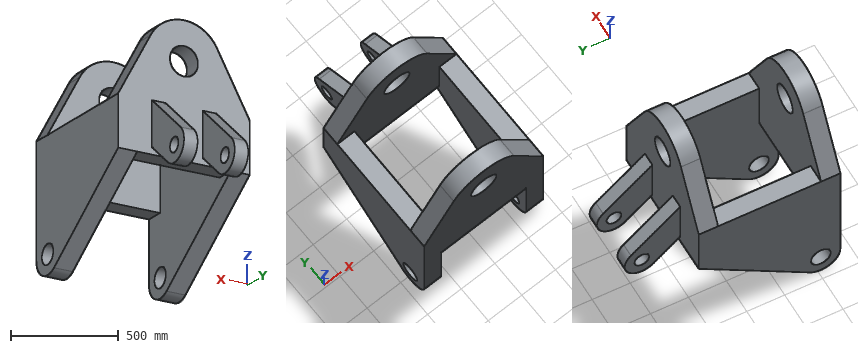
import cadquery as cq
import math

width = 710.0
frame_depth = 747.0
height = 1125.0
wall = 102.0
shoulder_z = 695.0
bridge_bottom_z = 425.0

eye_radius = 204.0
eye_bore = 151.0
eye_z = height - eye_radius

pivot_radius = 104.0
pivot_bore = 104.0
pivot_y = pivot_radius
pivot_z = pivot_radius

total_depth = 1040.0
lug_radius = 90.0
lug_bore = 76.0
lug_thickness = 73.0
lug_spacing = 273.0
lug_y = total_depth - lug_radius
lug_z = 410.0


def tangent_point(point, center, radius, side):
    """Touch point on a circle of a line from an outside point; side is +1 or -1."""
    du = point[0] - center[0]
    dv = point[1] - center[1]
    angle = math.atan2(dv, du) + side * math.acos(radius / math.hypot(du, dv))
    return (center[0] + radius * math.cos(angle), center[1] + radius * math.sin(angle))


def eye_plate(front_y):
    """Plate with sloping shoulders tangent to a rounded eye, starting at front_y."""
    half = width / 2
    touch_x, touch_z = tangent_point((half, shoulder_z), (0, eye_z), eye_radius, 1)
    return (
        cq.Workplane("XZ", origin=(0, front_y, 0))
        .moveTo(-half, bridge_bottom_z)
        .lineTo(half, bridge_bottom_z)
        .lineTo(half, shoulder_z)
        .lineTo(touch_x, touch_z)
        .threePointArc((0, height), (-touch_x, touch_z))
        .lineTo(-half, shoulder_z)
        .close()
        .moveTo(0, eye_z)
        .circle(eye_bore / 2)
        .extrude(-wall)
    )


def side_plate(left_x):
    """Plate tapering down to the lower pivot, starting at left_x."""
    back_corner = (frame_depth, bridge_bottom_z)
    touch = tangent_point(back_corner, (pivot_y, pivot_z), pivot_radius, -1)
    return (
        cq.Workplane("YZ", origin=(left_x, 0, 0))
        .moveTo(0, pivot_z)
        .lineTo(0, shoulder_z)
        .lineTo(frame_depth, shoulder_z)
        .lineTo(*back_corner)
        .lineTo(*touch)
        .threePointArc((pivot_y, 0), (0, pivot_z))
        .close()
        .moveTo(pivot_y, pivot_z)
        .circle(pivot_bore / 2)
        .extrude(wall)
    )


def lug(center_x):
    """Arm sloping down from the top of the back plate to a rounded eye."""
    top_corner = (frame_depth, shoulder_z)
    touch = tangent_point(top_corner, (lug_y, lug_z), lug_radius, -1)
    normal_y = (touch[0] - lug_y) / lug_radius
    normal_z = (touch[1] - lug_z) / lug_radius
    lower_touch = (2 * lug_y - touch[0], 2 * lug_z - touch[1])
    tip = (lug_y + lug_radius * normal_z, lug_z - lug_radius * normal_y)
    lower_corner = (frame_depth, shoulder_z - 2 * lug_radius / normal_z)
    return (
        cq.Workplane("YZ", origin=(center_x - lug_thickness / 2, 0, 0))
        .moveTo(*top_corner)
        .lineTo(*touch)
        .threePointArc(tip, lower_touch)
        .lineTo(*lower_corner)
        .close()
        .moveTo(lug_y, lug_z)
        .circle(lug_bore / 2)
        .extrude(lug_thickness)
    )


result = eye_plate(0).union(eye_plate(frame_depth - wall))
for left_x in (-width / 2, width / 2 - wall):
    result = result.union(side_plate(left_x))
for center_x in (-lug_spacing / 2, lug_spacing / 2):
    result = result.union(lug(center_x))